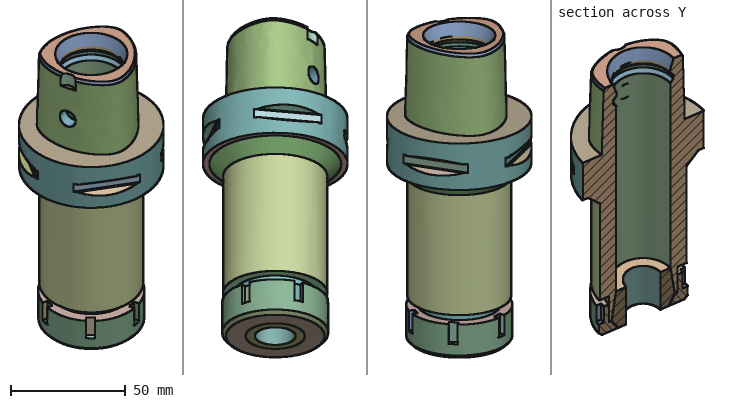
import cadquery as cq
import math

TOTAL_HEIGHT = 143.0
SHANK_HEIGHT = 38.0
FLANGE_HEIGHT = 21.9
FLANGE_TOP = TOTAL_HEIGHT - SHANK_HEIGHT
FLANGE_BOTTOM = FLANGE_TOP - FLANGE_HEIGHT
SLEEVE_BOTTOM = 20.6
NUT_HEIGHT = 16.3
COLLET_HEAD_HEIGHT = 5.7

FLANGE_DIAMETER = 63.0
FLANGE_RADIUS = FLANGE_DIAMETER / 2
FLANGE_CONE_HEIGHT = 6.0
SLEEVE_RADIUS = 22.7
FLANGE_CONE_RADIUS = SLEEVE_RADIUS + FLANGE_CONE_HEIGHT
NECK_RADIUS = 18.0

LOBE_MEAN_RADIUS = 22.2
LOBE_SIZE = 1.6
SHANK_TAPER = 0.025
SHANK_CHAMFER_HEIGHT = 1.5
SHANK_CHAMFER_WIDTH = 0.7
OUTLINE_POINTS = 36

MOUTH_RADIUS = 15.7
LAND_RADIUS = 13.7
RELIEF_RADIUS = 15.6
BORE_RADIUS = 14.0
MOUTH_DEPTH = 6.0
LAND_DEPTH = 7.6
RELIEF_START_DEPTH = 9.7
RELIEF_END_DEPTH = 11.6
BORE_START_DEPTH = 13.6

NOTCH_RADIUS = 5.0
NOTCH_DEPTH = 6.1
NOTCH_FLOOR_Y = -17.7
SIDE_HOLE_RADIUS = 4.0
SIDE_HOLE_DROP = 22.3
SIDE_HOLE_END_Y = -14.5

GROOVE_COUNT = 4
GROOVE_LENGTH = 30.0
GROOVE_FLOOR_RADIUS = math.sqrt(FLANGE_RADIUS**2 - (GROOVE_LENGTH / 2) ** 2)
GROOVE_FLARE_RADIUS = 28.6
GROOVE_FLOOR_HEIGHT = 4.0
GROOVE_MOUTH_HEIGHT = 7.6
GROOVE_CENTRE_Z = 93.1

NUT_RADIUS = 23.2
NUT_CHAMFER = 1.7
NUT_SLOT_COUNT = 6
NUT_SLOT_WIDTH = 4.0
NUT_SLOT_FLOOR_RADIUS = 20.6
NUT_SLOT_BOTTOM = 7.0

COLLET_BORE_RADIUS = 8.9
COLLET_FACE_RADIUS = 12.9
COLLET_SHOULDER_RADIUS = 16.3
COLLET_HALF_ANGLE = math.radians(8)
COLLET_TAPER_LENGTH = (COLLET_SHOULDER_RADIUS - BORE_RADIUS) / math.tan(COLLET_HALF_ANGLE)
COLLET_TOP = COLLET_HEAD_HEIGHT + COLLET_TAPER_LENGTH


def revolve_profile(points):
    """Turn a closed (radius, height) outline about the Z axis."""
    return cq.Workplane("XZ").polyline(points).close().revolve(360, (0, 0, 0), (0, 1, 0))


def shank_outline(height, inset):
    """Closed three-lobed wire with one lobe toward +Y."""
    mean_radius = LOBE_MEAN_RADIUS - inset
    points = []
    for i in range(OUTLINE_POINTS):
        angle = 2 * math.pi * i / OUTLINE_POINTS
        lobe_along = LOBE_SIZE * (2 * math.cos(2 * angle) - math.cos(4 * angle))
        lobe_across = LOBE_SIZE * (2 * math.sin(2 * angle) + math.sin(4 * angle))
        along = mean_radius * math.cos(angle) + lobe_along
        across = mean_radius * math.sin(angle) - lobe_across
        points.append(cq.Vector(across, along, height))
    return cq.Wire.assembleEdges([cq.Edge.makeSpline(points, periodic=True)])


def make_shank():
    chamfer_start = TOTAL_HEIGHT - SHANK_CHAMFER_HEIGHT
    top_inset = SHANK_TAPER * (SHANK_HEIGHT - SHANK_CHAMFER_HEIGHT)
    base = shank_outline(FLANGE_TOP, 0)
    shoulder = shank_outline(chamfer_start, top_inset)
    rim = shank_outline(TOTAL_HEIGHT, top_inset + SHANK_CHAMFER_WIDTH)
    tapered = cq.Solid.makeLoft([base, shoulder], True)
    chamfered = cq.Solid.makeLoft([shoulder, rim], True)
    return cq.Workplane(tapered).union(cq.Workplane(chamfered))


def make_bore_cutter():
    """Stepped bore from the top face down to the collet seat in the neck."""
    return revolve_profile([
        (0, TOTAL_HEIGHT),
        (MOUTH_RADIUS, TOTAL_HEIGHT),
        (LAND_RADIUS, TOTAL_HEIGHT - MOUTH_DEPTH),
        (LAND_RADIUS, TOTAL_HEIGHT - LAND_DEPTH),
        (RELIEF_RADIUS, TOTAL_HEIGHT - RELIEF_START_DEPTH),
        (RELIEF_RADIUS, TOTAL_HEIGHT - RELIEF_END_DEPTH),
        (BORE_RADIUS, TOTAL_HEIGHT - BORE_START_DEPTH),
        (BORE_RADIUS, COLLET_TOP),
        (COLLET_SHOULDER_RADIUS, COLLET_HEAD_HEIGHT),
        (0, COLLET_HEAD_HEIGHT),
    ])


def make_notch_cutter():
    return (
        cq.Workplane("XY", origin=(0, NOTCH_FLOOR_Y - NOTCH_RADIUS, TOTAL_HEIGHT))
        .circle(NOTCH_RADIUS)
        .extrude(-NOTCH_DEPTH)
    )


def make_side_hole_cutter():
    return (
        cq.Workplane("XZ", origin=(0, SIDE_HOLE_END_Y, TOTAL_HEIGHT - SIDE_HOLE_DROP))
        .circle(SIDE_HOLE_RADIUS)
        .extrude(LOBE_MEAN_RADIUS + SIDE_HOLE_END_Y)
    )


def make_groove_cutter(angle):
    """Flat-floored groove whose sides flare out near the rim, running square to the radius."""
    half_floor = GROOVE_FLOOR_HEIGHT / 2
    half_mouth = GROOVE_MOUTH_HEIGHT / 2
    return (
        cq.Workplane("XZ", origin=(0, GROOVE_LENGTH / 2, GROOVE_CENTRE_Z))
        .polyline([
            (GROOVE_FLOOR_RADIUS, -half_floor),
            (GROOVE_FLARE_RADIUS, -half_floor),
            (FLANGE_RADIUS, -half_mouth),
            (FLANGE_RADIUS, half_mouth),
            (GROOVE_FLARE_RADIUS, half_floor),
            (GROOVE_FLOOR_RADIUS, half_floor),
        ])
        .close()
        .extrude(GROOVE_LENGTH)
        .rotate((0, 0, 0), (0, 0, 1), angle)
    )


def make_holder():
    turned = revolve_profile([
        (0, FLANGE_TOP),
        (FLANGE_RADIUS, FLANGE_TOP),
        (FLANGE_RADIUS, FLANGE_BOTTOM),
        (FLANGE_CONE_RADIUS, FLANGE_BOTTOM),
        (SLEEVE_RADIUS, FLANGE_BOTTOM - FLANGE_CONE_HEIGHT),
        (SLEEVE_RADIUS, SLEEVE_BOTTOM),
        (NECK_RADIUS, SLEEVE_BOTTOM),
        (NECK_RADIUS, COLLET_HEAD_HEIGHT),
        (0, COLLET_HEAD_HEIGHT),
    ])
    holder = turned.union(make_shank()).cut(make_bore_cutter())
    holder = holder.cut(make_notch_cutter()).cut(make_side_hole_cutter())
    groove_step = 360 / GROOVE_COUNT
    for i in range(GROOVE_COUNT):
        holder = holder.cut(make_groove_cutter((i + 0.5) * groove_step))
    return holder


def make_nut():
    nut = revolve_profile([
        (COLLET_FACE_RADIUS, 0),
        (NUT_RADIUS - NUT_CHAMFER, 0),
        (NUT_RADIUS, NUT_CHAMFER),
        (NUT_RADIUS, NUT_HEIGHT),
        (NECK_RADIUS, NUT_HEIGHT),
        (NECK_RADIUS, COLLET_HEAD_HEIGHT),
        (COLLET_SHOULDER_RADIUS, COLLET_HEAD_HEIGHT),
    ])
    slot = cq.Workplane("XY", origin=(NUT_SLOT_FLOOR_RADIUS, 0, NUT_SLOT_BOTTOM)).box(
        NUT_RADIUS - NUT_SLOT_FLOOR_RADIUS,
        NUT_SLOT_WIDTH,
        NUT_HEIGHT - NUT_SLOT_BOTTOM,
        centered=(False, True, False),
    )
    for i in range(NUT_SLOT_COUNT):
        nut = nut.cut(slot.rotate((0, 0, 0), (0, 0, 1), i * 360 / NUT_SLOT_COUNT))
    return nut


def make_collet():
    return revolve_profile([
        (COLLET_BORE_RADIUS, 0),
        (COLLET_FACE_RADIUS, 0),
        (COLLET_SHOULDER_RADIUS, COLLET_HEAD_HEIGHT),
        (BORE_RADIUS, COLLET_TOP),
        (COLLET_BORE_RADIUS, COLLET_TOP),
    ])


holder = make_holder()
nut = make_nut()
collet = make_collet()

result = cq.Compound.makeCompound([holder.val(), nut.val(), collet.val()])